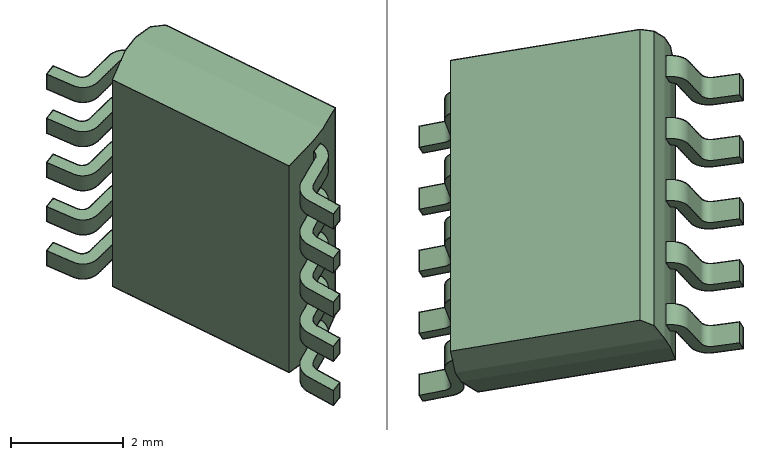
import cadquery as cq
import math

BODY_WIDTH = 3.92
BODY_LENGTH = 6.17
BODY_FRONT = 0.365
BAND_FRONT = 0.99
BAND_BACK = 1.32
BODY_BACK = 1.91
DRAFT_ANGLE = 10.0
BEVEL_ON_BACK = 0.16
BEVEL_DEPTH = 0.205

LEADS_PER_SIDE = 5
LEAD_PITCH = 1.27
LEAD_WIDTH = 0.43
LEAD_THICKNESS = 0.22
LEAD_SPAN = 6.0
LEAD_BACK = 1.24
LEG_ANGLE = 7.0
FOOT_ANGLE = 3.0
LEG_CORNER_X = 2.24
SHOULDER_INNER_RADIUS = 0.125
SHOULDER_OUTER_RADIUS = SHOULDER_INNER_RADIUS + LEAD_THICKNESS
ANKLE_INNER_RADIUS = 0.185
ANKLE_OUTER_RADIUS = 0.35
LEAD_ROOT_X = 1.73


def drafted_half(band_face, broad_face):
    """Block over the band outline, tapering from the band face to the broad face."""
    height = abs(broad_face - band_face)
    outward = (broad_face - band_face) / height
    plane = cq.Plane(origin=(0, band_face, 0), xDir=(1, 0, 0), normal=(0, outward, 0))
    return cq.Workplane(plane).rect(BODY_WIDTH, BODY_LENGTH).extrude(height, taper=DRAFT_ANGLE)


def make_body():
    band = cq.Workplane("XY").box(BODY_WIDTH, BAND_BACK - BAND_FRONT, BODY_LENGTH)
    band = band.translate((0, (BAND_FRONT + BAND_BACK) / 2, 0))
    body = band.union(drafted_half(BAND_FRONT, BODY_FRONT)).union(drafted_half(BAND_BACK, BODY_BACK))

    draft_slope = math.tan(math.radians(DRAFT_ANGLE))
    corner_x = -BODY_WIDTH / 2 + (BODY_BACK - BAND_BACK) * draft_slope
    bevel = (
        cq.Workplane("XY")
        .moveTo(corner_x, BODY_BACK)
        .lineTo(corner_x + BEVEL_ON_BACK, BODY_BACK)
        .lineTo(corner_x - BEVEL_DEPTH * draft_slope, BODY_BACK - BEVEL_DEPTH)
        .lineTo(corner_x - BEVEL_DEPTH, BODY_BACK)
        .close()
        .extrude(BODY_LENGTH / 2, both=True)
    )
    return body.cut(bevel)


def make_lead():
    """Lead on the +X side: a bent strip of shoulder, leg and foot with rounded corners."""
    leg_slope = math.tan(math.radians(LEG_ANGLE))
    foot_slope = math.tan(math.radians(FOOT_ANGLE))
    tip_x = LEAD_SPAN / 2
    leg_thickness_x = LEAD_THICKNESS / math.cos(math.radians(LEG_ANGLE))
    foot_thickness_y = LEAD_THICKNESS / math.cos(math.radians(FOOT_ANGLE))

    def shoulder_corner(leg_x, y):
        """Point at height y on a leg face that passes leg_x at the shoulder surface."""
        return (leg_x + (LEAD_BACK - y) * leg_slope, y)

    def ankle_corner(leg_x, tip_y):
        """Point where that leg face meets a foot face that ends at tip_y."""
        foot_y_at_leg_x = tip_y + (tip_x - leg_x) * foot_slope
        run = (LEAD_BACK - foot_y_at_leg_x) * leg_slope / (1 - leg_slope * foot_slope)
        return (leg_x + run, foot_y_at_leg_x - run * foot_slope)

    inner_leg_x = LEG_CORNER_X - leg_thickness_x
    shoulder_front = LEAD_BACK - LEAD_THICKNESS
    shoulder_outer = shoulder_corner(LEG_CORNER_X, LEAD_BACK)
    shoulder_inner = shoulder_corner(inner_leg_x, shoulder_front)
    ankle_inner = ankle_corner(LEG_CORNER_X, foot_thickness_y)
    ankle_outer = ankle_corner(inner_leg_x, 0)

    outline = [
        (LEAD_ROOT_X, LEAD_BACK),
        shoulder_outer,
        ankle_inner,
        (tip_x, foot_thickness_y),
        (tip_x, 0),
        ankle_outer,
        shoulder_inner,
        (LEAD_ROOT_X, shoulder_front),
    ]
    lead = cq.Workplane("XY").polyline(outline).close().extrude(LEAD_WIDTH / 2, both=True)

    bends = [
        (shoulder_outer, SHOULDER_OUTER_RADIUS),
        (shoulder_inner, SHOULDER_INNER_RADIUS),
        (ankle_outer, ANKLE_OUTER_RADIUS),
        (ankle_inner, ANKLE_INNER_RADIUS),
    ]
    for (x, y), radius in bends:
        lead = lead.edges("|Z").edges(cq.NearestToPointSelector((x, y, 0))).fillet(radius)
    return lead


result = make_body()
right_lead = make_lead()
left_lead = right_lead.mirror("YZ")
for index in range(LEADS_PER_SIDE):
    lead_z = (index - (LEADS_PER_SIDE - 1) / 2) * LEAD_PITCH
    for lead in (left_lead, right_lead):
        result = result.union(lead.translate((0, 0, lead_z)))